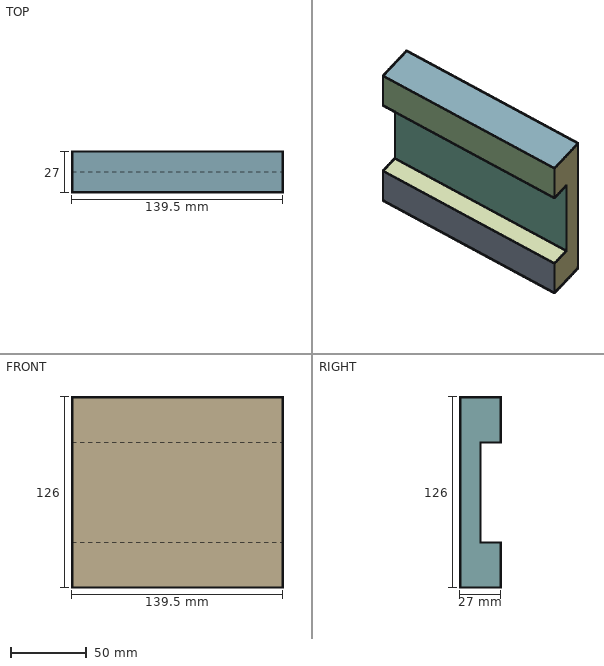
import cadquery as cq

length = 139.5
thickness = 27.0
height = 126.0

flange_height = 30.0
channel_depth = 13.5
channel_height = height - 2 * flange_height

plate = cq.Workplane("XY").box(length, thickness, height)

channel_center_y = (thickness - channel_depth) / 2
channel = (
    cq.Workplane("XY")
    .box(length, channel_depth, channel_height)
    .translate((0, channel_center_y, 0))
)

result = plate.cut(channel)